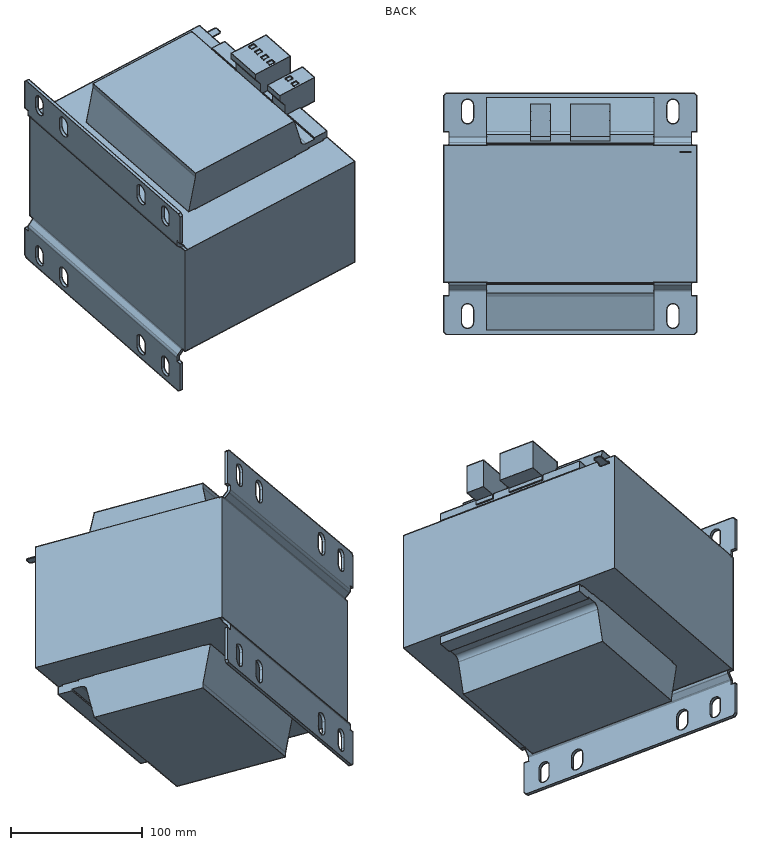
import cadquery as cq
import math


WIDTH = 192.0
CORE_HEIGHT = 104.0
CORE_DEPTH = 160.3
WINDOW_GAP = 0.5
WINDOW_FRONT = 39.6
WINDOW_BACK = 135.8
core_top = CORE_HEIGHT / 2

SHEET = 2.5
JOGGLE = 4.9
SHEET_HEIGHT = 183.0
NECK_WIDTH = 184.0
NECK_END = 62.0
BEND_START = 52.1
BEND_ANGLE = 45.0
BEND_INNER_RADIUS = 1.0
NECK_FILLET = 1.0
FLANGE_CHAMFER = 2.0
sheet_top = SHEET_HEIGHT / 2
bend_end = BEND_START + JOGGLE / math.tan(math.radians(BEND_ANGLE))
core_front = JOGGLE + SHEET
core_back = core_front + CORE_DEPTH

SLOT_LENGTH = 18.5
SLOT_HEIGHT = 77.5
SLOTS = ((77.8, 9.0), (47.8, 10.0))

FORMER_WIDTH = 126.6
FORMER_TOP = 88.2
FORMER_FRONT_FOOT = 33.7
FORMER_FRONT_TOP = 40.2
FORMER_BROW_BOTTOM = 84.4
FORMER_BACK_TOP = 135.0
FORMER_BACK_FOOT = 142.6
FORMER_FILLET = 5.0
LEDGE_BACK = 166.5
LEDGE_TOP = 58.6
RIM_FRONT = 154.3
RIM_TOP = 60.1
LIP_DEPTH = 3.5
LIP_GAP = 1.6
SHIM_LENGTH = 14.0
SHIM_GAP = 0.7

TERMINAL_WIDTH = 15.0
TERMINAL_CENTRES = (-22.5, -7.5, 22.5)
TERMINAL_BACK = 180.3
TERMINAL_TOP = 83.3
TERMINAL_NOSE_FRONT = 146.9
TERMINAL_NOSE_BOTTOM = 77.5
TERMINAL_FRONT = 151.7
TERMINAL_SLOPE_END = 70.8
HOOK_BOTTOM = 55.2
WIRE_HOLE_SPACING = 7.3
WIRE_HOLE_WIDTH = 3.8
WIRE_HOLE_LENGTH = 5.0
WIRE_HOLE_BACK = 167.0
WIRE_HOLE_DEPTH = 1.0

TAB_X = -87.3
TAB_Z = 46.9
TAB_THICKNESS = 0.8
TAB_END = 179.2
TAB_WIDTH = 6.6
TAB_TIP_WIDTH = 4.6
TAB_TIP_LENGTH = 1.5
TAB_BASE_WIDTH = 8.4
TAB_BASE_LENGTH = 2.4


def box(x_range, y_range, z_range):
    """Box spanning the given (low, high) ranges."""
    sizes = [high - low for low, high in (x_range, y_range, z_range)]
    corner = (x_range[0], y_range[0], z_range[0])
    return cq.Workplane("XY").box(*sizes, centered=False).translate(corner)


def side_profile(points, width, x_centre=0.0):
    """Extrude an outline of (y, z) points along X, centred on x_centre."""
    outline = cq.Workplane("YZ").polyline(points).close()
    return outline.extrude(width / 2, both=True).translate((x_centre, 0, 0))


def fillet_along_x(body, corners, radius):
    """Fillet the edges parallel to X that pass through the given (y, z) corners."""
    for y, z in corners:
        corner_edge = cq.selectors.NearestToPointSelector((0, y, z))
        body = body.edges("|X").edges(corner_edge).fillet(radius)
    return body


def make_core():
    """Core block with a narrow through gap along each side of the winding."""
    core_z = (-core_top, core_top)
    core = box((-WIDTH / 2, WIDTH / 2), (core_front, core_back), core_z)
    for side in (-1, 1):
        gap_x = sorted((side * FORMER_WIDTH / 2, side * (FORMER_WIDTH / 2 + WINDOW_GAP)))
        core = core.cut(box(gap_x, (WINDOW_FRONT, WINDOW_BACK), core_z))
    return core


def make_sheet_half():
    """Upper half of the mounting sheet: web, joggled bend and slotted flange."""
    back_shift = SHEET * math.tan(math.radians(BEND_ANGLE / 2))
    flange = side_profile(
        [
            (core_front, 0),
            (core_front, BEND_START + back_shift),
            (SHEET, bend_end + back_shift),
            (SHEET, sheet_top),
            (0, sheet_top),
            (0, bend_end),
            (JOGGLE, BEND_START),
            (JOGGLE, 0),
        ],
        WIDTH,
    )
    inner_bends = ((JOGGLE, BEND_START), (SHEET, bend_end + back_shift))
    outer_bends = ((core_front, BEND_START + back_shift), (0, bend_end))
    flange = fillet_along_x(flange, inner_bends, BEND_INNER_RADIUS)
    flange = fillet_along_x(flange, outer_bends, BEND_INNER_RADIUS + SHEET)
    flange = flange.edges("|Y and >Z").chamfer(FLANGE_CHAMFER)
    for side in (-1, 1):
        low, high = sorted((side * NECK_WIDTH / 2, side * WIDTH / 2))
        notch = box((low, high), (0, core_front), (core_top, NECK_END))
        inner_edge = cq.selectors.NearestToPointSelector((side * NECK_WIDTH / 2, core_front / 2, core_top))
        notch = notch.edges("|Y").edges(inner_edge).fillet(NECK_FILLET)
        flange = flange.cut(notch)
        for offset, slot_width in SLOTS:
            slot = (
                cq.Workplane("XZ", origin=(side * offset, SHEET, SLOT_HEIGHT))
                .slot2D(SLOT_LENGTH, slot_width, 90)
                .extrude(SHEET)
            )
            flange = flange.cut(slot)
    return flange


def make_sheet():
    upper_half = make_sheet_half()
    return upper_half.union(upper_half.mirror("XY"))


def make_former():
    """Upper half of the coil former: tapered hood and terminal ledge."""
    lip_front = LEDGE_BACK - LIP_DEPTH
    shim_front = lip_front - SHIM_LENGTH
    former = side_profile(
        [
            (FORMER_FRONT_FOOT, core_top),
            (FORMER_FRONT_TOP, FORMER_BROW_BOTTOM),
            (FORMER_FRONT_TOP, FORMER_TOP),
            (FORMER_BACK_TOP, FORMER_TOP),
            (FORMER_BACK_FOOT, LEDGE_TOP),
            (RIM_FRONT, LEDGE_TOP),
            (RIM_FRONT, RIM_TOP),
            (LEDGE_BACK, RIM_TOP),
            (LEDGE_BACK, core_top + LIP_GAP),
            (lip_front, core_top + LIP_GAP),
            (lip_front, core_top + SHIM_GAP),
            (shim_front, core_top + SHIM_GAP),
            (shim_front, core_top),
        ],
        FORMER_WIDTH,
    )
    return fillet_along_x(former, ((FORMER_BACK_FOOT, LEDGE_TOP),), FORMER_FILLET)


def make_terminal(x_centre):
    """Terminal block hooked over the ledge rim, with two wire holes on top."""
    terminal = side_profile(
        [
            (TERMINAL_FRONT, LEDGE_TOP),
            (TERMINAL_FRONT, TERMINAL_SLOPE_END),
            (TERMINAL_NOSE_FRONT, TERMINAL_NOSE_BOTTOM),
            (TERMINAL_NOSE_FRONT, TERMINAL_TOP),
            (TERMINAL_BACK, TERMINAL_TOP),
            (TERMINAL_BACK, LEDGE_TOP),
            (core_back, LEDGE_TOP),
            (core_back, HOOK_BOTTOM),
            (LEDGE_BACK, HOOK_BOTTOM),
            (LEDGE_BACK, LEDGE_TOP),
        ],
        TERMINAL_WIDTH,
        x_centre,
    )
    for side in (-1, 1):
        hole_x = x_centre + side * WIRE_HOLE_SPACING / 2
        hole = box(
            (hole_x - WIRE_HOLE_WIDTH / 2, hole_x + WIRE_HOLE_WIDTH / 2),
            (WIRE_HOLE_BACK - WIRE_HOLE_LENGTH, WIRE_HOLE_BACK),
            (TERMINAL_TOP - WIRE_HOLE_DEPTH, TERMINAL_TOP),
        )
        terminal = terminal.cut(hole)
    return terminal


def make_earth_tab():
    """Flat blade with a wider base and a tapered tip, on the back of the core."""
    base_end = core_back + TAB_BASE_LENGTH
    right_side = [
        (TAB_BASE_WIDTH / 2, core_back),
        (TAB_BASE_WIDTH / 2, base_end),
        (TAB_WIDTH / 2, base_end),
        (TAB_WIDTH / 2, TAB_END - TAB_TIP_LENGTH),
        (TAB_TIP_WIDTH / 2, TAB_END),
    ]
    left_side = [(-x, y) for x, y in reversed(right_side)]
    outline = cq.Workplane("XY").polyline(right_side + left_side).close()
    return outline.extrude(TAB_THICKNESS / 2, both=True).translate((TAB_X, 0, TAB_Z))


former = make_former()
result = make_core().union(make_sheet()).union(former).union(former.mirror("XY"))
for centre in TERMINAL_CENTRES:
    result = result.union(make_terminal(centre))
result = result.union(make_earth_tab())